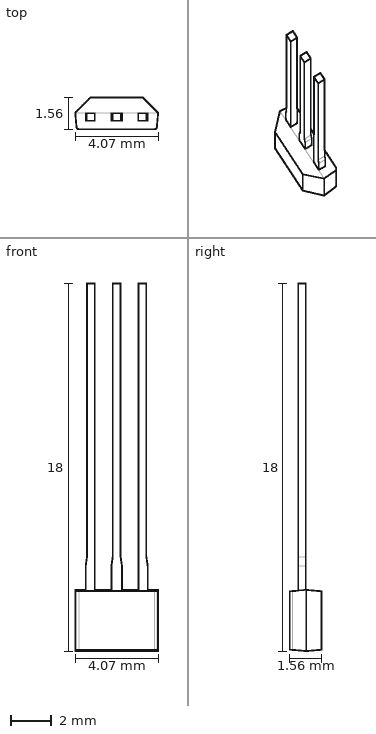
import cadquery as cq
import math

total_height = 17.99
body_width = 4.07
body_height = 3.0
front_depth = 0.81
back_depth = 0.75
draft_angle = 5.0
front_corner_radius = 0.13

lead_pitch = 1.26
lead_width = 0.4
lead_thickness = 0.38
lead_setback = 0.02
shoulder_width = 0.063
shoulder_start = 4.2
shoulder_end = 4.62

draft_slope = math.tan(math.radians(draft_angle))


def body_outline():
    """Plan outline: drafted sides in front, 45 degree flanks behind."""
    half_width = body_width / 2
    half_front = half_width - front_depth * draft_slope
    half_back = half_width - back_depth
    return (
        cq.Workplane("XY")
        .polyline([
            (-half_front, -front_depth),
            (half_front, -front_depth),
            (half_width, 0),
            (half_back, back_depth),
            (-half_back, back_depth),
            (-half_width, 0),
        ])
        .close()
    )


def body_side_profile():
    """Side outline whose ends draft away from the parting plane."""
    front_inset = front_depth * draft_slope
    back_inset = back_depth * draft_slope
    return (
        cq.Workplane("YZ")
        .polyline([
            (-front_depth, front_inset),
            (0, 0),
            (back_depth, back_inset),
            (back_depth, body_height - back_inset),
            (0, body_height),
            (-front_depth, body_height - front_inset),
        ])
        .close()
    )


def make_body():
    plan = body_outline().extrude(body_height)
    plan = plan.edges("|Z and <Y").fillet(front_corner_radius)
    return plan.intersect(body_side_profile().extrude(body_width / 2, both=True))


def make_lead(center_x, left_shoulder, right_shoulder):
    """Straight lead, widened at its root by a tapered shoulder on the given sides."""
    left = center_x - lead_width / 2
    right = center_x + lead_width / 2
    root_z = body_height / 2
    outline = [(left, total_height)]
    if left_shoulder:
        outline += [(left, shoulder_end), (left - shoulder_width, shoulder_start)]
        left -= shoulder_width
    outline.append((left, root_z))
    if right_shoulder:
        outline += [
            (right + shoulder_width, root_z),
            (right + shoulder_width, shoulder_start),
            (right, shoulder_end),
        ]
    else:
        outline.append((right, root_z))
    outline.append((right, total_height))
    back_plane = cq.Workplane("XZ", origin=(0, -lead_setback, 0))
    return back_plane.polyline(outline).close().extrude(lead_thickness)


result = make_body()
for position in (-1, 0, 1):
    lead = make_lead(position * lead_pitch, position <= 0, position >= 0)
    result = result.union(lead)